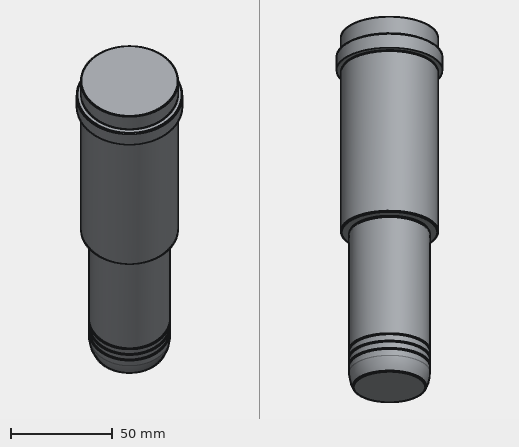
import cadquery as cq

length = 190.0
body_bottom = 84.0
collar_bottom = 172.0
collar_height = 8.0
collar_top = collar_bottom + collar_height

collar_radius = 26.0
body_radius = 24.0
pin_radius = 20.0
nose_radius = 18.0

collar_chamfer = 0.5
body_chamfer = 0.5
top_chamfer = 0.4
nose_chamfer = 0.5
nose_height = 8.0

relief_width = 1.0
relief_depth = 0.5

ring_count = 3
ring_pitch = 4.0
ring_width = 0.5
ring_depth = 0.4
first_ring_bottom = 11.4


def cylinder(radius, bottom, top):
    return cq.Workplane("XY").workplane(offset=bottom).circle(radius).extrude(top - bottom)


def cut_groove(part, outer_radius, depth, bottom, width):
    groove = cylinder(outer_radius, bottom, bottom + width)
    core = cylinder(outer_radius - depth, bottom, bottom + width)
    return part.cut(groove.cut(core))


def cut_relief(part, outer_radius, wall, direction):
    """Cut a relief from a flat wall along Z, with its far side sloping back to the surface."""
    floor_radius = outer_radius - relief_depth
    floor_end = wall + direction * (relief_width - relief_depth)
    slope_end = wall + direction * relief_width
    relief = (
        cq.Workplane("XZ")
        .moveTo(outer_radius, wall)
        .lineTo(floor_radius, wall)
        .lineTo(floor_radius, floor_end)
        .lineTo(outer_radius, slope_end)
        .close()
        .revolve(360, (0, 0, 0), (0, 1, 0))
    )
    return part.cut(relief)


def make_nose():
    """Nose whose arc leaves the pin tangentially and ends in a small chamfer."""
    arc_drop = nose_height - nose_chamfer
    arc_inset = pin_radius - nose_radius
    arc_radius = (arc_drop**2 + arc_inset**2) / (2 * arc_inset)
    middle_drop = arc_drop / 2
    middle_inset = arc_radius - (arc_radius**2 - middle_drop**2) ** 0.5
    return (
        cq.Workplane("XZ")
        .lineTo(nose_radius - nose_chamfer, 0)
        .lineTo(nose_radius, nose_chamfer)
        .threePointArc((pin_radius - middle_inset, nose_height - middle_drop), (pin_radius, nose_height))
        .lineTo(0, nose_height)
        .close()
        .revolve(360, (0, 0, 0), (0, 1, 0))
    )


pin = cylinder(pin_radius, nose_height, body_bottom)
body = cylinder(body_radius, body_bottom, length)
body = body.faces("<Z").edges().chamfer(body_chamfer).faces(">Z").edges().chamfer(top_chamfer)
collar = cylinder(collar_radius, collar_bottom, collar_top).faces(">Z").edges().chamfer(collar_chamfer)
result = make_nose().union(pin).union(body).union(collar)

result = cut_relief(result, body_radius, collar_top, 1)
result = cut_relief(result, body_radius, collar_bottom, -1)
result = cut_groove(result, pin_radius, relief_depth, body_bottom - relief_width, relief_width)

for ring in range(ring_count):
    ring_bottom = first_ring_bottom + ring * ring_pitch
    result = cut_groove(result, pin_radius, ring_depth, ring_bottom, ring_width)